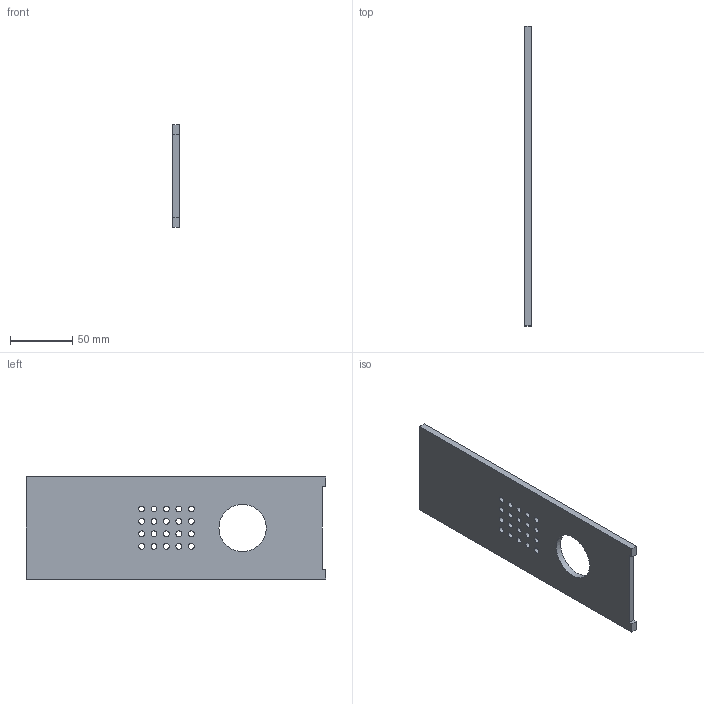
import cadquery as cq

thickness = 5.0
length = 241.0
height = 82.0

notch_depth = 3.0
tab_height = 8.0

opening_diameter = 38.0
opening_from_tab_end = 67.0

hole_diameter = 4.7
hole_pitch = 10.0
hole_columns = 5
hole_rows = 4
grid_from_opening = 61.2
grid_z = 0.3

tab_end_y = -length / 2
opening_y = tab_end_y + opening_from_tab_end
grid_y = opening_y + grid_from_opening


def make_plate():
    return cq.Workplane("XY").box(thickness, length, height)


def make_notch():
    notch_height = height - 2 * tab_height
    notch = cq.Workplane("XY").box(thickness, 2 * notch_depth, notch_height)
    return notch.translate((0, tab_end_y, 0))


def make_opening():
    return (
        cq.Workplane("YZ")
        .workplane(offset=-thickness / 2)
        .center(opening_y, 0)
        .circle(opening_diameter / 2)
        .extrude(thickness)
    )


def make_hole_grid():
    return (
        cq.Workplane("YZ")
        .workplane(offset=-thickness / 2)
        .center(grid_y, grid_z)
        .rarray(hole_pitch, hole_pitch, hole_columns, hole_rows)
        .circle(hole_diameter / 2)
        .extrude(thickness)
    )


result = make_plate().cut(make_notch()).cut(make_opening()).cut(make_hole_grid())